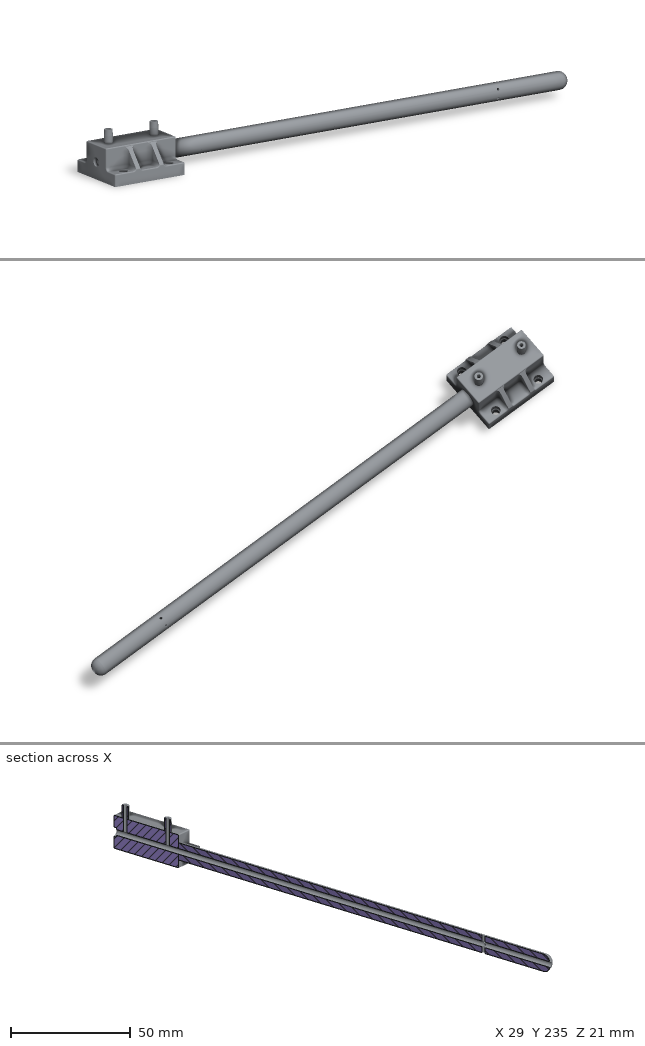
import cadquery as cq
overall_length = 235.0
overall_height = 21.0

block_width = 29.0
block_length = 35.0
block_height = 15.0
flange_height = 5.5
spine_width = 15.0
root_fillet = 1.5
edge_fillet = 0.5

rib_thickness = 2.0
rib_spacing = 11.8
rib_foot_height = 6.0
rib_top_drop = 0.59

pattern_pitch = 22.8
mount_hole_diameter = 3.0
mount_recess_diameter = 4.0
mount_recess_depth = 2.4

bore_diameter = 2.4
port_diameter = 4.0
port_depth = 1.2

tube_diameter = 8.0
tip_length = 3.5
vent_diameter = 1.2
vent_count = 6
vent_to_tip = 36.0

fitting_diameter = 3.8
fitting_top_diameter = 3.5
fitting_taper_height = 2.5
fitting_bore_diameter = 1.6

axis_z = block_height / 2
middle_y = block_length / 2
fitting_height = overall_height - block_height
pattern_offsets = [-pattern_pitch / 2, pattern_pitch / 2]
fitting_places = [(0, middle_y + dy) for dy in pattern_offsets]
mount_places = [(dx, middle_y + dy) for dx in pattern_offsets for dy in pattern_offsets]

tolerance = 0.02


def slab(width, length, height):
    """A box that stands on Z = 0, centred across the block in X and Y."""
    return (
        cq.Workplane("XY", origin=(0, middle_y, 0))
        .box(width, length, height, centered=(True, True, False))
    )


def cylinder_y(diameter, start_y, length):
    """A cylinder on the bore's axis that runs towards +Y."""
    return cq.Workplane("XZ", origin=(0, start_y, axis_z)).circle(diameter / 2).extrude(-length)


def cylinders_z(places, diameter, start_z, height):
    """Upright cylinders at the given places."""
    return (
        cq.Workplane("XY", origin=(0, 0, start_z))
        .pushPoints(places)
        .circle(diameter / 2)
        .extrude(height)
    )




def is_root_edge(edge):
    """Inner corners of the flanges, spine and ribs, without the end edges of the block."""
    middle = edge.Center()
    height = edge.BoundingBox().zlen
    if not tolerance < middle.y < block_length - tolerance:
        return False
    on_flange = abs(middle.z - flange_height) < tolerance and height < tolerance
    on_outer_side = abs(abs(middle.x) - block_width / 2) < tolerance
    beside_spine = abs(abs(middle.x) - spine_width / 2) < tolerance and height > tolerance
    return (on_flange and not on_outer_side) or beside_spine


def is_outer_edge(edge):
    """Edges round the ends, the sides and the top, without those of the bottom face."""
    box = edge.BoundingBox()
    on_side = box.xmin > block_width / 2 - tolerance or box.xmax < -block_width / 2 + tolerance
    on_end = box.ymax < tolerance or box.ymin > block_length - tolerance
    on_top = box.zmin > block_height - tolerance
    return box.zmax > tolerance and (on_side or on_end or on_top)


def fillet_where(body, is_wanted, radius):
    return body.newObject([edge for edge in body.edges().vals() if is_wanted(edge)]).fillet(radius)


def rib_slope_cutter():
    """Wedge on the +X side that leaves the ribs sloping from the spine down to the flange's edge."""
    inner_x = spine_width / 2
    outer_x = block_width / 2
    slope_top = block_height - rib_top_drop
    return (
        cq.Workplane("XZ")
        .moveTo(inner_x, slope_top)
        .lineTo(outer_x, rib_foot_height)
        .lineTo(outer_x, block_height)
        .lineTo(inner_x, block_height)
        .close()
        .extrude(-block_length)
    )


def make_block_body():
    body = slab(block_width, block_length, flange_height).union(slab(spine_width, block_length, block_height))
    for side in (-1, 1):
        rib = slab(block_width, rib_thickness, block_height)
        body = body.union(rib.translate((0, side * rib_spacing / 2, 0)))
    body = fillet_where(body, is_root_edge, root_fillet)
    cutter = rib_slope_cutter()
    body = body.cut(cutter).cut(cutter.mirror("YZ"))
    return fillet_where(body, is_outer_edge, edge_fillet)


def make_block():
    block = make_block_body()
    block = block.cut(cylinders_z(mount_places, mount_hole_diameter, 0, flange_height))
    recess_floor = flange_height - mount_recess_depth
    block = block.cut(cylinders_z(mount_places, mount_recess_diameter, recess_floor, block_height))
    block = block.cut(cylinder_y(port_diameter, 0, port_depth))
    block = block.cut(cylinder_y(bore_diameter, 0, block_length))
    return block.cut(cylinders_z(fitting_places, fitting_bore_diameter, axis_z, block_height))




def make_tube():
    """Tube with a rounded, open tip and a ring of small side vents."""
    bore_radius = bore_diameter / 2
    tube_radius = tube_diameter / 2
    tube = (
        cq.Workplane("XY")
        .moveTo(bore_radius, block_length)
        .lineTo(tube_radius, block_length)
        .lineTo(tube_radius, overall_length - tip_length)
        .tangentArcPoint((bore_radius, overall_length), relative=False)
        .close()
        .revolve(360, (0, 0, 0), (0, 1, 0))
        .translate((0, 0, axis_z))
    )
    vent_y = overall_length - vent_to_tip
    vent = cq.Workplane("XY").circle(vent_diameter / 2).extrude(tube_diameter)
    for index in range(vent_count):
        turned = vent.rotate((0, 0, 0), (0, 1, 0), index * 360 / vent_count)
        tube = tube.cut(turned.translate((0, vent_y, axis_z)))
    return tube




def make_fitting(place):
    """Hollow stub with a tapered upper end."""
    fitting = cq.Workplane("XY").circle(fitting_diameter / 2).extrude(fitting_height - fitting_taper_height)
    taper = (
        fitting.faces(">Z")
        .workplane()
        .circle(fitting_diameter / 2)
        .workplane(offset=fitting_taper_height)
        .circle(fitting_top_diameter / 2)
        .loft(combine=False)
    )
    bore = cq.Workplane("XY").circle(fitting_bore_diameter / 2).extrude(fitting_height)
    x, y = place
    return fitting.union(taper).cut(bore).translate((x, y, block_height))


block = make_block()
tube = make_tube()
fittings = [make_fitting(place) for place in fitting_places]

result = cq.Compound.makeCompound(
    [*block.solids().vals(), *tube.solids().vals(), *[fitting.solids().val() for fitting in fittings]]
)